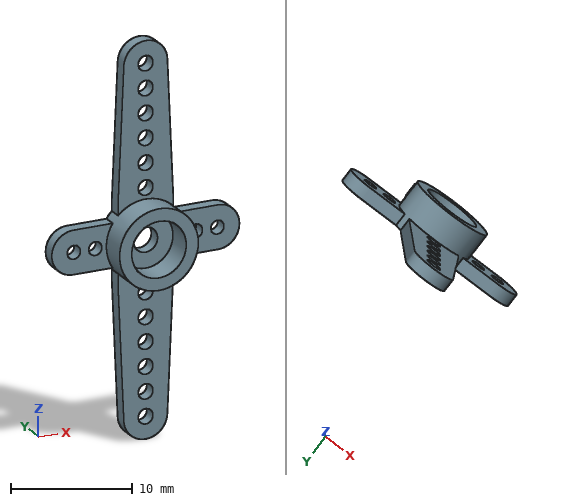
import cadquery as cq

total_depth = 3.7
plate_thickness = 1.2
hub_diameter = 7.2
socket_diameter = 5.0
socket_depth = total_depth - plate_thickness
screw_hole_diameter = 2.2

long_span = 35.2
long_tip_radius = 2.0
long_root_half_width = 2.55
long_root_offset = 3.55
long_hole_diameter = 1.35
long_hole_count = 6

short_span = 17.2
short_width = 3.95
short_hole_diameter = 1.2
short_hole_count = 2
short_hole_pitch = 1.97

first_hole_offset = 4.6

long_tip_center = long_span / 2 - long_tip_radius
long_hole_pitch = (long_tip_center - first_hole_offset) / (long_hole_count - 1)


def front_plane(y=0):
    """Sketch plane whose axes are X and Z and whose normal points to -Y."""
    return cq.Workplane("XZ", origin=(0, y, 0))


def long_arms():
    return (
        front_plane()
        .moveTo(long_root_half_width, -long_root_offset)
        .lineTo(long_root_half_width, long_root_offset)
        .lineTo(long_tip_radius, long_tip_center)
        .threePointArc((0, long_span / 2), (-long_tip_radius, long_tip_center))
        .lineTo(-long_root_half_width, long_root_offset)
        .lineTo(-long_root_half_width, -long_root_offset)
        .lineTo(-long_tip_radius, -long_tip_center)
        .threePointArc((0, -long_span / 2), (long_tip_radius, -long_tip_center))
        .close()
        .extrude(plate_thickness)
    )


def short_arms():
    return front_plane().slot2D(short_span, short_width).extrude(plate_thickness)


def hub():
    return front_plane().circle(hub_diameter / 2).extrude(total_depth)


def arm_holes():
    """Cutters for the rows of holes in all four arms."""
    long_offsets = [first_hole_offset + i * long_hole_pitch for i in range(long_hole_count)]
    short_offsets = [first_hole_offset + i * short_hole_pitch for i in range(short_hole_count)]
    long_points = [(0, side * offset) for side in (-1, 1) for offset in long_offsets]
    short_points = [(side * offset, 0) for side in (-1, 1) for offset in short_offsets]
    long_cutters = front_plane().pushPoints(long_points).circle(long_hole_diameter / 2)
    short_cutters = front_plane().pushPoints(short_points).circle(short_hole_diameter / 2)
    return long_cutters.extrude(plate_thickness).union(short_cutters.extrude(plate_thickness))


def center_bore():
    """Cutter for the screw hole and the wider socket at the front of the hub."""
    screw_hole = front_plane().circle(screw_hole_diameter / 2).extrude(total_depth)
    socket = front_plane(socket_depth - total_depth).circle(socket_diameter / 2).extrude(socket_depth)
    return screw_hole.union(socket)


result = long_arms().union(short_arms()).union(hub()).cut(arm_holes()).cut(center_bore())